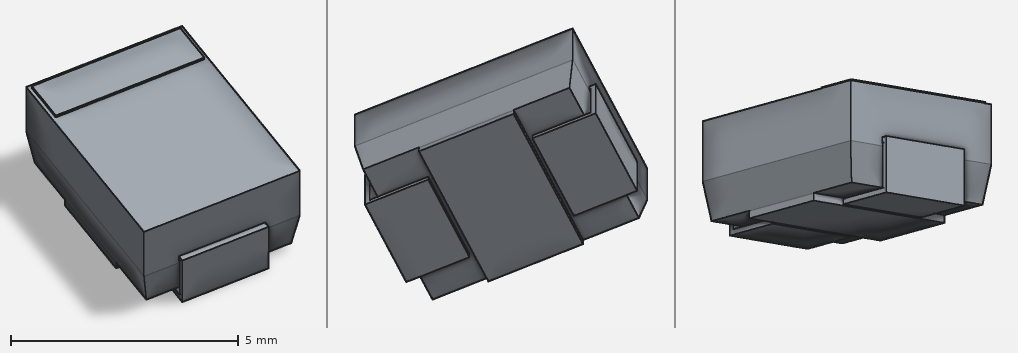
import cadquery as cq

total_length = 5.59
body_width = 3.94
total_height = 2.49

mark_thickness = 0.055
mark_length = 1.07
mark_inset = 0.095

lead_width = 2.18
lead_height = 1.27
lead_thickness = 0.125
foot_length = 1.53
lead_reach = 0.155

body_length = total_length - 2 * lead_reach
body_top = total_height - mark_thickness
taper_top = 1.08
taper_bottom = 0.175
taper_inset = 0.14
pad_gap = 0.12
bottom_length = body_length - 2 * taper_inset
bottom_width = body_width - 2 * taper_inset
pad_length = total_length - 2 * (foot_length + pad_gap)


def make_housing():
    """Moulded body whose underside tapers down to a full-width standoff pad."""
    upper = (
        cq.Workplane("XY", origin=(0, 0, taper_top))
        .rect(body_length, body_width)
        .extrude(body_top - taper_top)
    )
    lower = (
        cq.Workplane("XY", origin=(0, 0, taper_bottom))
        .rect(bottom_length, bottom_width)
        .workplane(offset=taper_top - taper_bottom)
        .rect(body_length, body_width)
        .loft(ruled=True)
    )
    pad = cq.Workplane("XY").rect(pad_length, bottom_width).extrude(taper_bottom)
    return upper.union(lower).union(pad)


def make_lead(side):
    """Bent lead at the -X end (side = -1) or the +X end (side = 1)."""
    outer = side * total_length / 2
    inner = outer - side * lead_thickness
    body_end = outer - side * lead_reach
    foot_end = outer - side * foot_length
    profile = [
        (outer, 0),
        (outer, lead_height),
        (body_end, lead_height),
        (body_end, lead_height - lead_thickness),
        (inner, lead_height - lead_thickness),
        (inner, lead_thickness),
        (foot_end, lead_thickness),
        (foot_end, 0),
    ]
    return cq.Workplane("XZ").polyline(profile).close().extrude(lead_width / 2, both=True)


def make_polarity_mark():
    """Thin band on the top face, near the -X end."""
    mark_center = -body_length / 2 + mark_inset + mark_length / 2
    return (
        cq.Workplane("XY", origin=(mark_center, 0, body_top))
        .rect(mark_length, body_width - 2 * mark_inset)
        .extrude(mark_thickness)
    )


housing = make_housing()
polarity_mark = make_polarity_mark()
leads = [make_lead(side) for side in (-1, 1)]

result = cq.Compound.makeCompound(
    [housing.val(), polarity_mark.val(), *[lead.val() for lead in leads]]
)